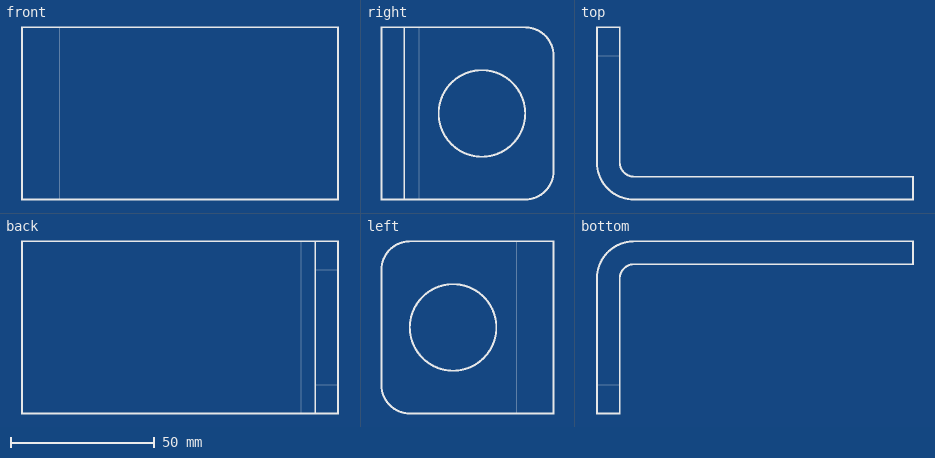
import cadquery as cq

length = 110.0
depth = 60.0
height = 60.0
thickness = 8.0
inner_bend_radius = 5.0
outer_bend_radius = inner_bend_radius + thickness
corner_radius = 10.0
hole_diameter = 30.0
hole_edge_distance = 25.0


def bent_plate():
    """L-shaped plate with a sharp-cornered profile, then rounded at the bend."""
    plate = (
        cq.Workplane("XY")
        .moveTo(0, 0)
        .lineTo(length, 0)
        .lineTo(length, thickness)
        .lineTo(thickness, thickness)
        .lineTo(thickness, depth)
        .lineTo(0, depth)
        .close()
        .extrude(height)
    )
    middle = height / 2
    plate = plate.edges(cq.selectors.NearestToPointSelector((0, 0, middle))).fillet(outer_bend_radius)
    inner_edge = cq.selectors.NearestToPointSelector((thickness, thickness, middle))
    return plate.edges(inner_edge).fillet(inner_bend_radius)


def short_leg_hole():
    """Round cutter through the short leg only, centred in height."""
    return (
        cq.Workplane("YZ")
        .center(depth - hole_edge_distance, height / 2)
        .circle(hole_diameter / 2)
        .extrude(thickness)
    )


bracket = bent_plate().faces(">Y").edges("|X").fillet(corner_radius)
result = bracket.cut(short_leg_hole())